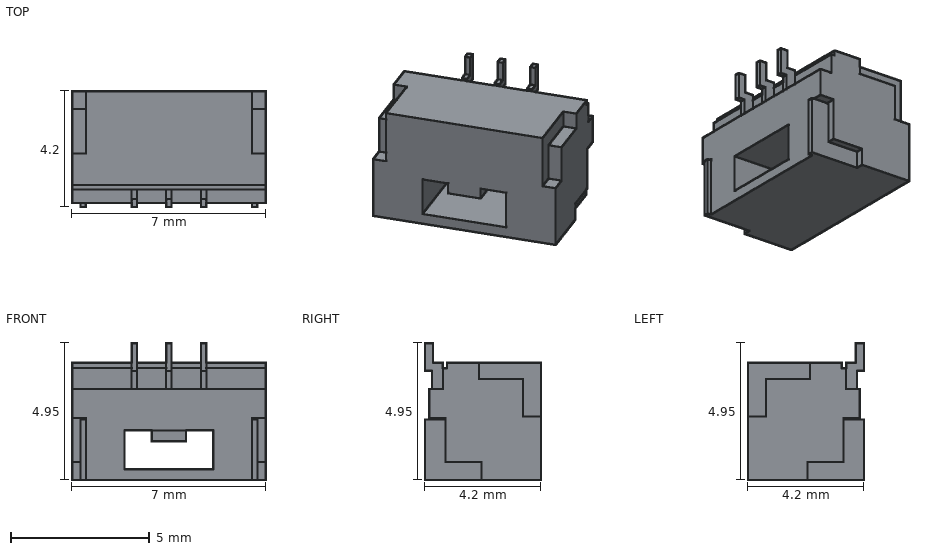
import cadquery as cq

width = 7.0
overall_depth = 4.2
body_height = 4.25
pad_protrusion = 0.15
front_y = pad_protrusion
back_y = overall_depth

ledge_z = 3.3
ledge_wall_y = 0.65
lip_height = 0.2
lip_setback = 0.15

recess_depth = 0.5
upper_run = 2.25
upper_drop = 0.6
upper_leg = 0.65
upper_leg_z = 2.3
lower_run_y = 2.05
lower_rise = 0.65
lower_leg_y = 0.75
lower_leg_z = 2.25

pad_thickness = 0.2
pad_height = 2.2

window_width = 3.2
window_floor_z = 0.4
window_ceiling_z = 1.8
catch_height = 0.4
catch_length = 0.65
catch_width = 1.25

pin_count = 3
pin_pitch = 1.25
pin_width = 0.2
pin_tip_z = 4.95
pin_tail_thickness = 0.3
pin_foot_y = 0.25
pin_shoulder_z = 3.95


def side_prism(points, x_start, x_length):
    """Extrude a closed (Y, Z) outline along +X from x_start."""
    return cq.Workplane("YZ", origin=(x_start, 0, 0)).polyline(points).close().extrude(x_length)


def both_sides(shape):
    """Join a shape with its mirror image about the YZ plane."""
    return shape.union(shape.mirror("YZ"))


def make_housing():
    lip_y = ledge_wall_y + lip_setback
    lip_z = body_height - lip_height
    outline = [
        (back_y, 0),
        (back_y, body_height),
        (lip_y, body_height),
        (lip_y, lip_z),
        (ledge_wall_y, lip_z),
        (ledge_wall_y, ledge_z),
        (front_y, ledge_z),
        (front_y, 0),
    ]
    return side_prism(outline, -width / 2, width)


def make_upper_recesses():
    outline = [
        (back_y, body_height),
        (back_y - upper_run, body_height),
        (back_y - upper_run, body_height - upper_drop),
        (back_y - upper_leg, body_height - upper_drop),
        (back_y - upper_leg, upper_leg_z),
        (back_y, upper_leg_z),
    ]
    return both_sides(side_prism(outline, -width / 2, recess_depth))


def lower_l_outline(top_z):
    """L outline from the pad contact face to the lower recess walls."""
    return [
        (0, 0),
        (lower_run_y, 0),
        (lower_run_y, lower_rise),
        (lower_leg_y, lower_rise),
        (lower_leg_y, top_z),
        (0, top_z),
    ]


def make_lower_recesses():
    return both_sides(side_prism(lower_l_outline(lower_leg_z), -width / 2, recess_depth))


def make_pads():
    pad_x = -width / 2 + recess_depth - pad_thickness
    return both_sides(side_prism(lower_l_outline(pad_height), pad_x, pad_thickness))


def make_window():
    height = window_ceiling_z - window_floor_z
    return (
        cq.Workplane("XY")
        .box(window_width, overall_depth, height, centered=(True, False, False))
        .translate((0, 0, window_floor_z))
    )


def make_catch():
    return (
        cq.Workplane("XY")
        .box(catch_width, catch_length, catch_height, centered=(True, False, False))
        .translate((0, back_y - catch_length, window_ceiling_z - catch_height))
    )


def make_pin(x_center):
    outline = [
        (ledge_wall_y, ledge_z),
        (ledge_wall_y, body_height),
        (pin_tail_thickness, body_height),
        (pin_tail_thickness, pin_tip_z),
        (0, pin_tip_z),
        (0, pin_shoulder_z),
        (pin_foot_y, pin_shoulder_z),
        (pin_foot_y, ledge_z),
    ]
    return side_prism(outline, x_center - pin_width / 2, pin_width)


result = make_housing()
result = result.cut(make_upper_recesses())
result = result.cut(make_lower_recesses())
result = result.cut(make_window())
result = result.union(make_pads())
result = result.union(make_catch())
for index in range(pin_count):
    pin_x = (index - (pin_count - 1) / 2) * pin_pitch
    result = result.union(make_pin(pin_x))